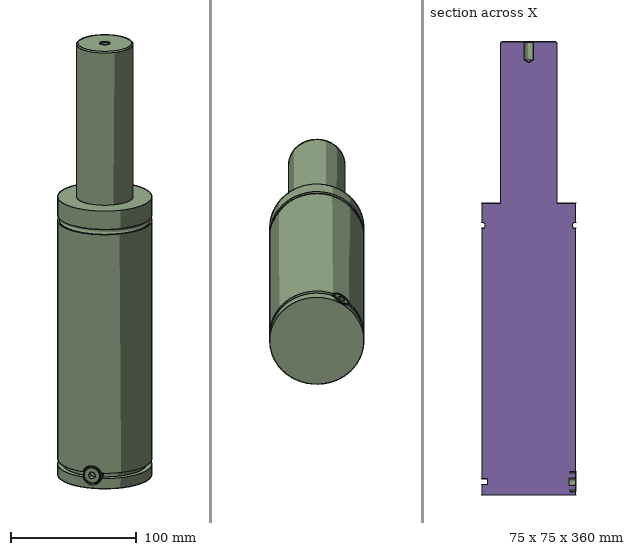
import cadquery as cq
import math

total_height = 360.0
body_diameter = 75.0
body_radius = body_diameter / 2
body_top = 232.0

rod_diameter = 45.0
rod_chamfer = 1.0
rod_hole_diameter = 7.0
rod_hole_depth = 14.5
rod_hole_countersink = 0.7
drill_angle = 118

upper_groove_bottom = 212.0
upper_groove_width = 4.5
upper_groove_depth = 2.5
upper_groove_wall = 1.5
lower_groove_bottom = 8.5
lower_groove_width = 4.5
lower_groove_depth = 4.5

port_height = lower_groove_bottom + lower_groove_width / 2
port_diameter = 16.0
port_plug_diameter = 14.0
port_step_depth = 4.5
port_plug_chamfer = 0.7
port_length = 10.8
port_hole_diameter = 5.5
port_hole_depth = 5.5


def round_groove():
    """Ring for the upper groove: straight side walls and a concave arc for a floor."""
    wall_radius = body_radius - upper_groove_wall
    floor_radius = body_radius - upper_groove_depth
    middle = upper_groove_bottom + upper_groove_width / 2
    top = upper_groove_bottom + upper_groove_width
    return (
        cq.Workplane("XZ")
        .moveTo(body_radius, upper_groove_bottom)
        .lineTo(wall_radius, upper_groove_bottom)
        .threePointArc((floor_radius, middle), (wall_radius, top))
        .lineTo(body_radius, top)
        .close()
        .revolve(360, (0, 0), (0, 1))
    )


def square_groove():
    """Square-section ring for the lower groove."""
    return (
        cq.Workplane("XY", origin=(0, 0, lower_groove_bottom))
        .circle(body_radius)
        .circle(body_radius - lower_groove_depth)
        .extrude(lower_groove_width)
    )


def make_body():
    """Cylinder with a round-floored upper groove and a square lower groove."""
    body = cq.Workplane("XY").circle(body_radius).extrude(body_top)
    return body.cut(round_groove()).cut(square_groove())


def make_rod():
    """Chamfered rod with a drilled, lightly countersunk hole in its end."""
    rod = (
        cq.Workplane("XY", origin=(0, 0, body_top))
        .circle(rod_diameter / 2)
        .extrude(total_height - body_top)
        .faces(">Z")
        .chamfer(rod_chamfer)
    )
    hole_radius = rod_hole_diameter / 2
    mouth_radius = hole_radius + rod_hole_countersink
    tip_length = hole_radius / math.tan(math.radians(drill_angle / 2))
    hole_bottom = total_height - rod_hole_depth
    drill = (
        cq.Workplane("XZ")
        .moveTo(0, total_height)
        .lineTo(mouth_radius, total_height)
        .lineTo(hole_radius, total_height - rod_hole_countersink)
        .lineTo(hole_radius, hole_bottom)
        .lineTo(0, hole_bottom - tip_length)
        .close()
        .revolve(360, (0, 0), (0, 1))
    )
    return rod.cut(drill)


def port_cylinder(diameter, length):
    """Cylinder running inward along +Y from the front of the body."""
    return (
        cq.Workplane("XZ", origin=(0, -body_radius, port_height))
        .circle(diameter / 2)
        .extrude(-length)
    )


def add_port(part):
    """Add a round port seat carrying a narrower chamfered plug with a blind hole in its face."""
    seat = port_cylinder(port_diameter, port_length)
    pocket = port_cylinder(port_diameter, port_step_depth)
    plug = port_cylinder(port_plug_diameter, port_length).faces("<Y").chamfer(port_plug_chamfer)
    hole = port_cylinder(port_hole_diameter, port_hole_depth)
    return part.union(seat).cut(pocket).union(plug).cut(hole)


result = add_port(make_body().union(make_rod()))